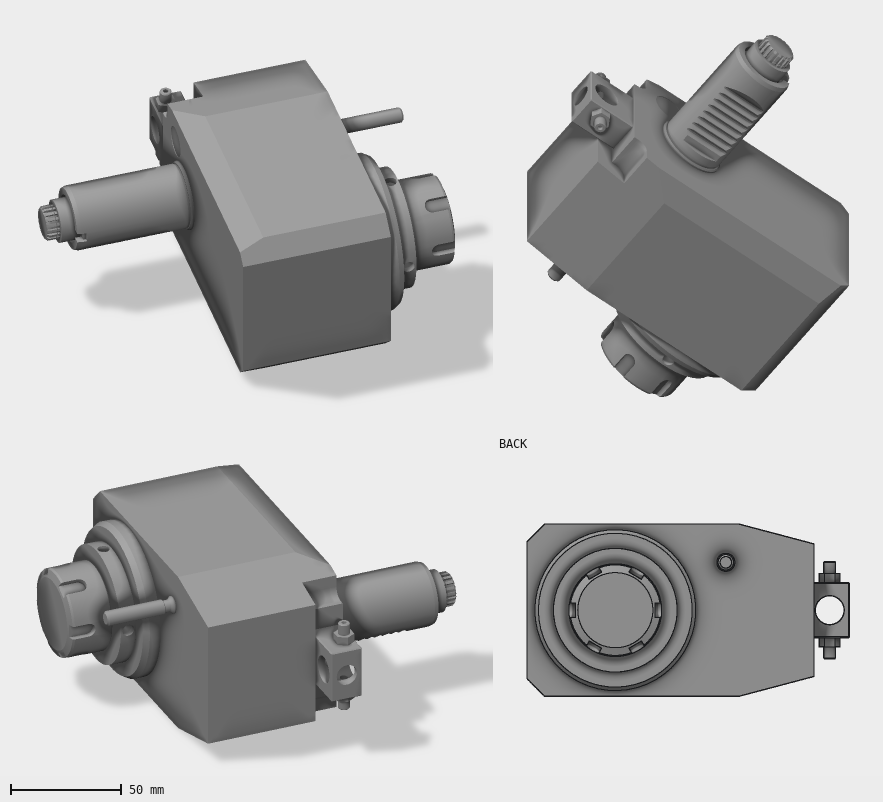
import cadquery as cq
import math


BODY_DEPTH = 70.0
BODY_LEFT = -40.0
BODY_RIGHT = 90.0
BODY_HALF_HEIGHT = 39.0
LEFT_TAPER_X = -6.0
LEFT_HALF_HEIGHT = 30.0
RIGHT_CHAMFER = 8.0
SEAT_BEVEL_DEPTH = 12.0
SEAT_BEVEL_ANGLE = 15.0

RECESS_DEPTH = 17.0
RECESS_INNER_X = -32.0
RECESS_OUTER_X = -25.0
RECESS_HALF_HEIGHT = 23.0
RECESS_RADIUS = 5.0

PIN_OFFSET_Z = 21.65
PLUG_X = -12.5
PLUG_DIAMETER = 14.5
PLUG_SINK = 0.3
PIN_DIAMETER = 7.0
PIN_FOOT_DIAMETER = 8.2
PIN_NECK_DIAMETER = 5.6
PIN_FOOT_HEIGHT = 0.6
PIN_FOOT_CONE_END = 2.0
PIN_NECK_END = 5.2
PIN_LENGTH = 33.3
PIN_CHAMFER = 0.9

SHANK_RADIUS = 15.0
SHANK_LENGTH = 55.0
SHANK_TIP_LENGTH = 2.0
SHANK_TIP_STEP = 0.6
FLANGE_RADIUS = 16.0
FLANGE_THICKNESS = 1.5
FLANGE_CHAMFER = 0.7
RELIEF_RADIUS = 14.7
RELIEF_END = 2.5
BOSS_RADIUS = 10.0
BOSS_END = 61.0
RING_GAP_RADIUS = 11.2
RING_GAP_DEPTH = 3.0
DRIVE_SLOT_WIDTH = 4.8
DRIVE_SLOT_DEPTH = 4.5
DRIVE_SLOT_STEP_RADIUS = 13.2
DRIVE_SLOT_INNER_DEPTH = 3.0

SPLINE_END = 67.0
SPLINE_TIP_RADIUS = 8.0
SPLINE_ROOT_RADIUS = 6.9
SPLINE_TEETH = 18
SPLINE_TOOTH_WIDTH = 1.3
SPLINE_CHAMFER = 0.9
SPLINE_GROOVE_START = 1.2
SPLINE_GROOVE_WIDTH = 0.3
SPLINE_GROOVE_RADIUS = 6.8

RACK_START = 6.6
RACK_TIP_Z = -11.7
RACK_ROOT_Z = -10.2
RACK_FIRST_GROOVE = 11.8
RACK_PITCH = 3.95
RACK_GROOVES = 8
RACK_ROOT_WIDTH = 0.8

BLOCK_LEFT = -56.0
BLOCK_START_Y = 1.0
BLOCK_END_Y = 16.0
BLOCK_HEIGHT = 25.0
BLOCK_CHAMFER = 0.5
BORE_X = -47.0
BORE_DIAMETER = 13.0
INLET_DIAMETER = 10.0
OUTLET_DIAMETER = 8.0
INLET_Y = (BLOCK_START_Y + BLOCK_END_Y) / 2
FEED_DIAMETER = 2.8
FEED_DEPTH = 8.0
NOZZLE_Y = 6.0
NOZZLE_DIAMETER = 5.4
NOZZLE_TOP = 22.0
NOZZLE_CHAMFER = 0.4
NOZZLE_BORE_DIAMETER = 2.4
NOZZLE_SEAT_DIAMETER = 3.6
NUT_ACROSS_CORNERS = 9.5
NUT_HEIGHT = 4.1

SPINDLE_X = 50.0
COLLAR_RADIUS = 36.4
COLLAR_HEIGHT = 8.0
COLLAR_BEVEL_HEIGHT = 2.7
COLLAR_BEVEL_WIDTH = 1.6
GROOVE_RADIUS = 27.0
GROOVE_END = 8.6
RING_RADIUS = 28.0
RING_END = 15.9
RING_HOLE_COUNT = 4
RING_HOLE_DIAMETER = 5.6
RING_HOLE_DEPTH = 3.0
NECK_RADIUS = 17.0
NUT_START = 16.9
NUT_RADIUS = 21.0
NUT_EDGE = 0.5
NUT_SHOULDER_END = 36.4
NUT_LIP_RADIUS = 17.0
SPINDLE_END = 37.6
NUT_SLOT_COUNT = 6
NUT_SLOT_WIDTH = 6.5
NUT_SLOT_END = 25.4
NUT_SLOT_FLOOR = 18.0


def y_cylinder(radius, x, z, y_start, y_end):
    """Cylinder along +Y from y_start to y_end."""
    base = cq.Vector(x, y_start, z)
    return cq.Workplane(obj=cq.Solid.makeCylinder(radius, y_end - y_start, base, cq.Vector(0, 1, 0)))


def box(x_start, x_end, y_start, y_end, z_start, z_end):
    """Box between two opposite corners."""
    size = (x_end - x_start, y_end - y_start, z_end - z_start)
    return cq.Workplane("XY").box(*size, centered=False).translate((x_start, y_start, z_start))


def turned(profile, x, z, y):
    """Solid of revolution about the Y direction from (radius, height) points."""
    points = [(0, profile[0][1])] + profile + [(0, profile[-1][1])]
    solid = cq.Workplane("XY").polyline(points).close().revolve(360, (0, 0, 0), (0, 1, 0))
    return solid.translate((x, y, z))


def housing():
    upper = [
        (BODY_LEFT, LEFT_HALF_HEIGHT),
        (LEFT_TAPER_X, BODY_HALF_HEIGHT),
        (BODY_RIGHT - RIGHT_CHAMFER, BODY_HALF_HEIGHT),
        (BODY_RIGHT, BODY_HALF_HEIGHT - RIGHT_CHAMFER),
    ]
    lower = [(x, -z) for x, z in reversed(upper)]
    body = cq.Workplane("XZ").polyline(upper + lower).close().extrude(-BODY_DEPTH)

    drop = SEAT_BEVEL_DEPTH * math.tan(math.radians(SEAT_BEVEL_ANGLE))
    bevel = (
        cq.Workplane("YZ", origin=(BODY_LEFT, 0, 0))
        .polyline([
            (0, BODY_HALF_HEIGHT - drop),
            (SEAT_BEVEL_DEPTH, BODY_HALF_HEIGHT),
            (0, BODY_HALF_HEIGHT),
        ])
        .close()
        .extrude(BODY_RIGHT - BODY_LEFT)
    )
    body = body.cut(bevel).cut(bevel.mirror("XY"))
    plug = y_cylinder(PLUG_DIAMETER / 2, PLUG_X, PIN_OFFSET_Z, 0, PLUG_SINK)
    return body.cut(corner_recess()).cut(plug)


def corner_recess():
    """Step across the front left corner, deeper above and below the coolant block."""
    step = box(BODY_LEFT, RECESS_INNER_X, 0, RECESS_DEPTH, -BODY_HALF_HEIGHT, BODY_HALF_HEIGHT)
    pocket = (
        cq.Workplane("XZ")
        .moveTo(RECESS_INNER_X, RECESS_HALF_HEIGHT)
        .lineTo(RECESS_OUTER_X - RECESS_RADIUS, RECESS_HALF_HEIGHT)
        .radiusArc((RECESS_OUTER_X, RECESS_HALF_HEIGHT + RECESS_RADIUS), -RECESS_RADIUS)
        .lineTo(RECESS_OUTER_X, BODY_HALF_HEIGHT)
        .lineTo(RECESS_INNER_X, BODY_HALF_HEIGHT)
        .close()
        .extrude(-RECESS_DEPTH)
    )
    return step.union(pocket).union(pocket.mirror("XY"))


def locating_pin():
    radius = PIN_DIAMETER / 2
    neck = PIN_NECK_DIAMETER / 2
    return turned(
        [
            (PIN_FOOT_DIAMETER / 2, 0),
            (PIN_FOOT_DIAMETER / 2, PIN_FOOT_HEIGHT),
            (neck, PIN_FOOT_CONE_END),
            (neck, PIN_NECK_END - PIN_CHAMFER / 2),
            (radius, PIN_NECK_END),
            (radius, PIN_LENGTH - PIN_CHAMFER),
            (radius - PIN_CHAMFER, PIN_LENGTH),
        ],
        0, PIN_OFFSET_Z, BODY_DEPTH,
    )


def shank():
    body = turned(
        [
            (FLANGE_RADIUS, 0),
            (FLANGE_RADIUS, FLANGE_CHAMFER - FLANGE_THICKNESS),
            (FLANGE_RADIUS - FLANGE_CHAMFER, -FLANGE_THICKNESS),
            (RELIEF_RADIUS, -FLANGE_THICKNESS),
            (RELIEF_RADIUS, -RELIEF_END),
            (SHANK_RADIUS, -RELIEF_END),
            (SHANK_RADIUS, SHANK_TIP_LENGTH - SHANK_LENGTH),
            (SHANK_RADIUS - SHANK_TIP_STEP, -SHANK_LENGTH),
        ],
        0, 0, 0,
    )
    gap = y_cylinder(RING_GAP_RADIUS, 0, 0, -SHANK_LENGTH, RING_GAP_DEPTH - SHANK_LENGTH)
    half_slot = DRIVE_SLOT_WIDTH / 2
    inner_slot = box(
        0, DRIVE_SLOT_STEP_RADIUS,
        -SHANK_LENGTH, DRIVE_SLOT_INNER_DEPTH - SHANK_LENGTH,
        -half_slot, half_slot,
    )
    outer_slot = box(
        DRIVE_SLOT_STEP_RADIUS, SHANK_RADIUS,
        -SHANK_LENGTH, DRIVE_SLOT_DEPTH - SHANK_LENGTH,
        -half_slot, half_slot,
    )
    body = body.cut(clamping_rack()).cut(gap).cut(inner_slot).cut(outer_slot)
    boss = y_cylinder(BOSS_RADIUS, 0, 0, -BOSS_END, 0)
    return body.union(boss).union(spline())


def clamping_rack():
    """Toothed flat along the bottom of the shank, with a 45 degree run-out."""
    flank = RACK_ROOT_Z - RACK_TIP_Z
    half_root = RACK_ROOT_WIDTH / 2
    points = [(-RACK_START, -SHANK_RADIUS), (-RACK_START, RACK_TIP_Z)]
    for index in range(RACK_GROOVES):
        center = -RACK_FIRST_GROOVE - index * RACK_PITCH
        points.append((center + half_root + flank, RACK_TIP_Z))
        points.append((center + half_root, RACK_ROOT_Z))
        points.append((center - half_root, RACK_ROOT_Z))
        if index < RACK_GROOVES - 1:
            points.append((center - half_root - flank, RACK_TIP_Z))
    last_groove = -RACK_FIRST_GROOVE - (RACK_GROOVES - 1) * RACK_PITCH
    run_out = RACK_ROOT_Z + SHANK_RADIUS
    points.append((last_groove - half_root - run_out, -SHANK_RADIUS))
    return cq.Workplane("YZ").polyline(points).close().extrude(SHANK_RADIUS, both=True)


def spline():
    core = y_cylinder(SPLINE_ROOT_RADIUS, 0, 0, -SPLINE_END, -BOSS_END)
    tooth = box(
        -SPLINE_TOOTH_WIDTH / 2, SPLINE_TOOTH_WIDTH / 2,
        -SPLINE_END, -BOSS_END,
        SPLINE_ROOT_RADIUS / 2, SPLINE_TIP_RADIUS + SPLINE_CHAMFER,
    )
    for index in range(SPLINE_TEETH):
        core = core.union(tooth.rotate((0, 0, 0), (0, 1, 0), index * 360 / SPLINE_TEETH))
    groove_start = -BOSS_END - SPLINE_GROOVE_START
    groove_end = groove_start - SPLINE_GROOVE_WIDTH
    envelope = turned(
        [
            (SPLINE_TIP_RADIUS, -BOSS_END),
            (SPLINE_TIP_RADIUS, groove_start),
            (SPLINE_GROOVE_RADIUS, groove_start),
            (SPLINE_GROOVE_RADIUS, groove_end),
            (SPLINE_TIP_RADIUS, groove_end),
            (SPLINE_TIP_RADIUS, SPLINE_CHAMFER - SPLINE_END),
            (SPLINE_TIP_RADIUS - SPLINE_CHAMFER, -SPLINE_END),
        ],
        0, 0, 0,
    )
    return core.intersect(envelope)


def nozzle():
    """Hex nut and threaded stub standing on top of the coolant block."""
    nut = cq.Workplane("XY").polygon(6, NUT_ACROSS_CORNERS).extrude(NUT_HEIGHT)
    stub_height = NOZZLE_TOP - BLOCK_HEIGHT / 2
    stub = cq.Workplane("XY").circle(NOZZLE_DIAMETER / 2).extrude(stub_height)
    stub = stub.faces(">Z").chamfer(NOZZLE_CHAMFER)
    bore = cq.Workplane("XY").circle(NOZZLE_BORE_DIAMETER / 2).extrude(stub_height)
    return nut.union(stub).cut(bore).translate((BORE_X, NOZZLE_Y, BLOCK_HEIGHT / 2))


def coolant_block():
    half = BLOCK_HEIGHT / 2
    block = box(BLOCK_LEFT, RECESS_INNER_X, BLOCK_START_Y, BLOCK_END_Y, -half, half)
    block = block.faces("<X").edges().chamfer(BLOCK_CHAMFER)
    block = block.edges("|X").chamfer(BLOCK_CHAMFER)
    bore = y_cylinder(BORE_DIAMETER / 2, BORE_X, 0, BLOCK_START_Y, BLOCK_END_Y)
    inlet = (
        cq.Workplane("YZ", origin=(BLOCK_LEFT, INLET_Y, 0))
        .circle(INLET_DIAMETER / 2)
        .extrude(BORE_X - BLOCK_LEFT)
    )
    outlet = (
        cq.Workplane("YZ", origin=(BORE_X, INLET_Y, 0))
        .circle(OUTLET_DIAMETER / 2)
        .extrude(RECESS_INNER_X - BORE_X)
    )
    seats = (
        cq.Workplane("XY", origin=(BORE_X, NOZZLE_Y, 0))
        .circle(NOZZLE_SEAT_DIAMETER / 2)
        .extrude(half, both=True)
    )
    top_nozzle = nozzle()
    block = block.cut(bore).cut(inlet).cut(outlet).cut(seats)
    return block.union(top_nozzle).union(top_nozzle.mirror("XY"))


def feed_hole():
    return (
        cq.Workplane("YZ", origin=(RECESS_INNER_X, INLET_Y, 0))
        .circle(FEED_DIAMETER / 2)
        .extrude(FEED_DEPTH)
    )


def ring_hole():
    """Radial drilled hole with a conical bottom, entering the ring from +Z."""
    radius = RING_HOLE_DIAMETER / 2
    wall_end = RING_RADIUS - RING_HOLE_DEPTH
    points = [(0, RING_RADIUS), (radius, RING_RADIUS), (radius, wall_end), (0, wall_end - radius)]
    hole = cq.Workplane("XZ").polyline(points).close().revolve(360, (0, 0, 0), (0, 1, 0))
    return hole.translate((0, (GROOVE_END + RING_END) / 2, 0))


def nut_slot():
    """Wrench slot in the clamping nut, open at its front and rounded at its end."""
    half_width = NUT_SLOT_WIDTH / 2
    arc_start = NUT_SLOT_END + half_width
    return (
        cq.Workplane("XY", origin=(0, 0, NUT_SLOT_FLOOR))
        .moveTo(-half_width, SPINDLE_END)
        .lineTo(-half_width, arc_start)
        .threePointArc((0, NUT_SLOT_END), (half_width, arc_start))
        .lineTo(half_width, SPINDLE_END)
        .close()
        .extrude(NUT_RADIUS - NUT_SLOT_FLOOR)
    )


def spindle():
    body = turned(
        [
            (COLLAR_RADIUS, 0),
            (COLLAR_RADIUS, COLLAR_HEIGHT - COLLAR_BEVEL_HEIGHT),
            (COLLAR_RADIUS - COLLAR_BEVEL_WIDTH, COLLAR_HEIGHT),
            (GROOVE_RADIUS, COLLAR_HEIGHT),
            (GROOVE_RADIUS, GROOVE_END),
            (RING_RADIUS, GROOVE_END),
            (RING_RADIUS, RING_END),
            (NECK_RADIUS, RING_END),
            (NECK_RADIUS, NUT_START),
            (NUT_RADIUS - NUT_EDGE, NUT_START),
            (NUT_RADIUS, NUT_START + NUT_EDGE),
            (NUT_RADIUS, NUT_SHOULDER_END - 2 * NUT_EDGE),
            (NUT_RADIUS - NUT_EDGE, NUT_SHOULDER_END),
            (NUT_LIP_RADIUS, SPINDLE_END),
        ],
        0, 0, 0,
    )
    for index in range(RING_HOLE_COUNT):
        body = body.cut(ring_hole().rotate((0, 0, 0), (0, 1, 0), index * 360 / RING_HOLE_COUNT))
    slot_pitch = 360 / NUT_SLOT_COUNT
    for index in range(NUT_SLOT_COUNT):
        body = body.cut(nut_slot().rotate((0, 0, 0), (0, 1, 0), (index + 0.5) * slot_pitch))
    return body.translate((SPINDLE_X, BODY_DEPTH, 0))


result = (
    housing()
    .union(locating_pin())
    .union(shank())
    .union(spindle())
    .union(coolant_block())
    .cut(feed_hole())
)